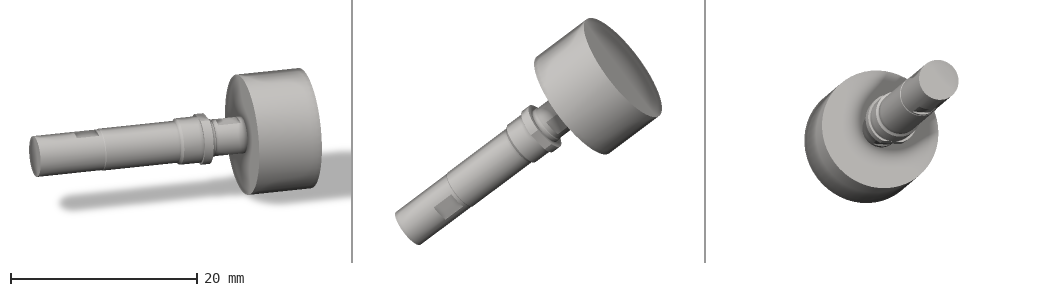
import cadquery as cq

LENGTH = 30.2

HEAD_RADIUS = 6.5
NECK_RADIUS = 2.0
COLLAR_RADIUS = 2.08
FLANGE_RADIUS = 2.75
SLEEVE_RADIUS = 2.5
BODY_RADIUS = 2.25
TIP_RADIUS = 2.2

HEAD_LENGTH = 7.0
NECK_LENGTH = 3.45
COLLAR_LENGTH = 0.55
FLANGE_LENGTH = 1.0
SLEEVE_LENGTH = 2.55
TIP_LENGTH = 7.25

SLEEVE_CHAMFER_LENGTH = 0.3
SLEEVE_CHAMFER_DEPTH = SLEEVE_RADIUS - BODY_RADIUS
COLLAR_CHAMFER = COLLAR_RADIUS - NECK_RADIUS
BODY_CHAMFER_LENGTH = 0.1
BODY_CHAMFER_DEPTH = BODY_RADIUS - TIP_RADIUS

FLAT_LENGTH = 2.48
NECK_FLAT_HEIGHT = 1.75
NECK_FLAT_SETBACK = 0.48
TIP_FLAT_HEIGHT = 1.93
TIP_FLAT_WIDTH = 1.93
TIP_FLAT_START = 4.4
FLANGE_FLAT_HEIGHT = SLEEVE_RADIUS

HEAD_START = LENGTH - HEAD_LENGTH
NECK_START = HEAD_START - NECK_LENGTH
COLLAR_START = NECK_START - COLLAR_LENGTH
FLANGE_START = COLLAR_START - FLANGE_LENGTH
SLEEVE_START = FLANGE_START - SLEEVE_LENGTH
NECK_FLAT_START = HEAD_START - NECK_FLAT_SETBACK - FLAT_LENGTH


def cylinder(radius, start, end):
    """Cylinder on the Y axis between two stations."""
    return cq.Workplane("XZ", origin=(0, end, 0)).circle(radius).extrude(end - start)


def flat_pair(start, length, width, height):
    """Two mirrored blocks that leave flats at Z = +height and Z = -height."""
    block = cq.Workplane("XY").box(width, length, HEAD_RADIUS, centered=(True, False, False))
    upper = block.translate((0, start, height))
    return upper.union(upper.mirror("XY"))


head = cylinder(HEAD_RADIUS, HEAD_START, LENGTH)

neck = cylinder(NECK_RADIUS, NECK_START, HEAD_START)
neck = neck.cut(flat_pair(NECK_FLAT_START, FLAT_LENGTH, 2 * NECK_RADIUS, NECK_FLAT_HEIGHT))

collar = cylinder(COLLAR_RADIUS, COLLAR_START, NECK_START)
collar = collar.faces(">Y").chamfer(COLLAR_CHAMFER)

flange = cylinder(FLANGE_RADIUS, FLANGE_START, COLLAR_START)
flange = flange.cut(flat_pair(FLANGE_START, FLANGE_LENGTH, 2 * FLANGE_RADIUS, FLANGE_FLAT_HEIGHT))

sleeve = cylinder(SLEEVE_RADIUS, SLEEVE_START, FLANGE_START)
sleeve = sleeve.faces("<Y").chamfer(SLEEVE_CHAMFER_LENGTH, SLEEVE_CHAMFER_DEPTH)

body = cylinder(BODY_RADIUS, TIP_LENGTH, SLEEVE_START)
body = body.faces("<Y").chamfer(BODY_CHAMFER_LENGTH, BODY_CHAMFER_DEPTH)

tip = cylinder(TIP_RADIUS, 0, TIP_LENGTH)
tip = tip.cut(flat_pair(TIP_FLAT_START, FLAT_LENGTH, TIP_FLAT_WIDTH, TIP_FLAT_HEIGHT))

result = head
for section in (neck, collar, flange, sleeve, body, tip):
    result = result.union(section)
result = result.translate((0, -LENGTH / 2, 0))